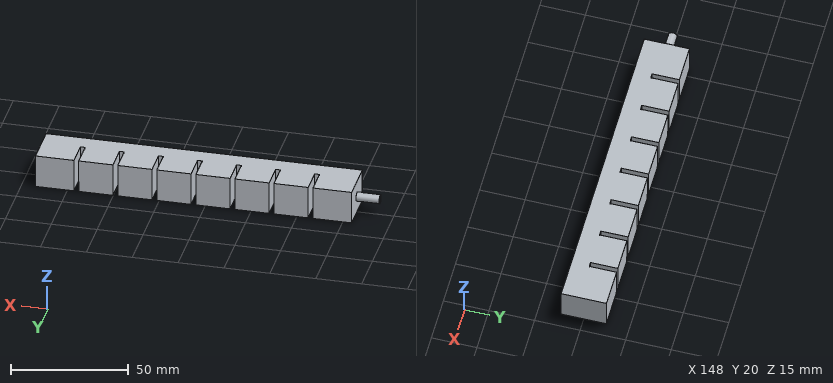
import cadquery as cq

overall_length = 148.0
body_width = 20.0
body_height = 15.0

tube_length = 10.0
tube_diameter = 4.0
bore_diameter = 2.0

slot_count = 7
slot_pitch = 17.0
slot_width = 2.0
slot_depth = 12.0

body_length = overall_length - tube_length


def make_body():
    """Plain bar centred on the origin."""
    return cq.Workplane("XY").box(body_length, body_width, body_height)


def make_tube():
    """Hollow tube whose bore stops at the end face of the bar."""
    return (
        cq.Workplane("YZ", origin=(-body_length / 2, 0, 0))
        .circle(tube_diameter / 2)
        .circle(bore_diameter / 2)
        .extrude(-tube_length)
    )


def make_slots():
    """Row of slot cutters, centred along the bar and open on the +Y side."""
    slot_center_y = body_width / 2 - slot_depth / 2
    return (
        cq.Workplane("XY", origin=(0, slot_center_y, 0))
        .rarray(slot_pitch, 1.5, slot_count, 1)
        .box(slot_width, slot_depth, body_height)
    )


result = make_body().cut(make_slots()).union(make_tube())